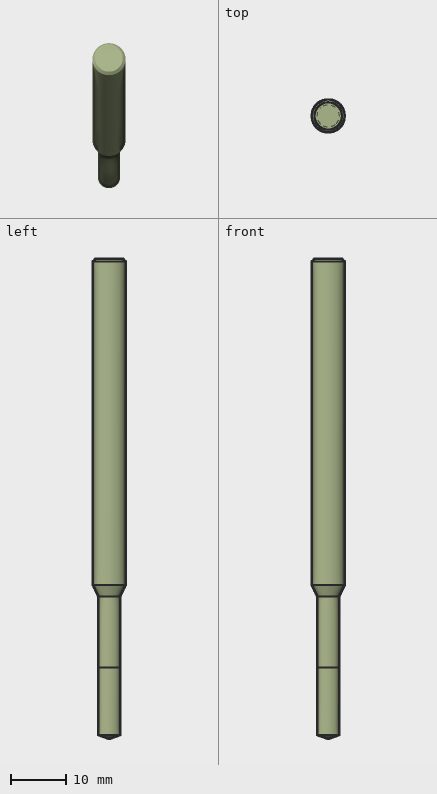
import cadquery as cq
import math

total_length = 86.75
shank_diameter = 6.0
neck_diameter = 4.0
end_chamfer = 0.5
point_angle = 140.0
cutter_length = 12.9
neck_top = 25.8
taper_height = 2.1

shank_radius = shank_diameter / 2
neck_radius = neck_diameter / 2
taper_top = neck_top + taper_height
point_height = neck_radius / math.tan(math.radians(point_angle / 2))


def revolve_profile(points):
    """Revolve a closed (radius, height) outline about the Z axis."""
    return cq.Workplane("XZ").polyline(points).close().revolve(360, (0, 0), (0, 1))


def make_cutter():
    """Lower cylinder ending in a conical drill point."""
    return revolve_profile([
        (0, 0),
        (neck_radius, point_height),
        (neck_radius, cutter_length),
        (0, cutter_length),
    ])


def make_holder():
    """Neck, taper and chamfered shank, seated on the flat top of the cutter."""
    return revolve_profile([
        (0, cutter_length),
        (neck_radius, cutter_length),
        (neck_radius, neck_top),
        (shank_radius, taper_top),
        (shank_radius, total_length - end_chamfer),
        (shank_radius - end_chamfer, total_length),
        (0, total_length),
    ])


cutter = make_cutter()
holder = make_holder()

result = cq.Compound.makeCompound([cutter.val(), holder.val()])